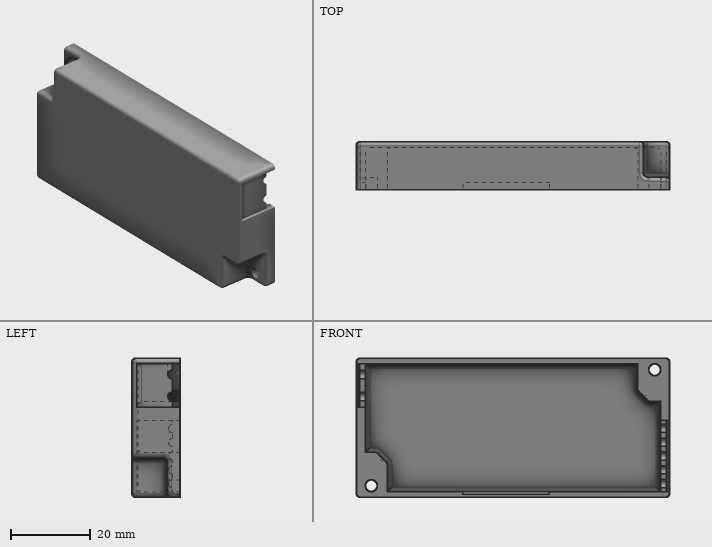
import cadquery as cq
import math

LENGTH = 79.3
DEPTH = 12.2
HEIGHT = 35.2

WALL = 1.4
END_RECESS = 0.9
END_INSET = WALL + END_RECESS
CAVITY_DEPTH = DEPTH - WALL
OUTER_FILLET = 1.0
INNER_FILLET = 1.2

LUG_THICKNESS = 3.25
INPUT_NOTCH = (6.4, 10.0)
OUTPUT_NOTCH = (6.7, 9.5)
STEP_BEVEL = 2.8
HOLE_DIAMETER = 2.9
HOLE_FROM_END = 3.8
HOLE_FROM_SIDE = 2.9

OPENING_SETBACK = 2.0
RECESS_FLOOR_LENGTH = 9.8
INPUT_WIDTH = 11.0
INPUT_PITCH = 5.55
INPUT_COUNT = 2
INPUT_RADIUS = 1.1
OUTPUT_WIDTH = 18.1
OUTPUT_PITCH = 3.5
OUTPUT_COUNT = 5
OUTPUT_RADIUS = 1.0

GROOVE_START = -12.8
GROOVE_END = 9.2
GROOVE_DEPTH = 0.7
GROOVE_FLOOR_WIDTH = 0.8


def block(x0, x1, y0, y1, z0, z1):
    """Box between two opposite corners."""
    return cq.Workplane("XY").box(x1 - x0, y1 - y0, z1 - z0, centered=False).translate((x0, y0, z0))


def half_turn(shape):
    """The same shape at the opposite corner of the part."""
    return shape.rotate((0, 0, 0), (0, 1, 0), 180)


def corner_notch(length, height):
    """Space behind the lug in the lower left corner."""
    x0 = -LENGTH / 2
    z0 = -HEIGHT / 2
    return block(x0, x0 + length, LUG_THICKNESS, DEPTH, z0, z0 + height)


def outer_body():
    """Block with two corners cut down to lugs, all edges rounded except at the open face."""
    body = block(-LENGTH / 2, LENGTH / 2, 0, DEPTH, -HEIGHT / 2, HEIGHT / 2)
    body = body.cut(corner_notch(*INPUT_NOTCH)).cut(half_turn(corner_notch(*OUTPUT_NOTCH)))
    return body.edges("not(#Y and <Y)").fillet(OUTER_FILLET)


def lug_step(length, height):
    """Solid corner left standing in the cavity: one wall around a notch, with a bevelled corner."""
    x0 = -LENGTH / 2
    z0 = -HEIGHT / 2
    x1 = x0 + length + WALL
    z1 = z0 + height + WALL
    outline = [(x0, z0), (x1, z0), (x1, z1 - STEP_BEVEL), (x1 - STEP_BEVEL, z1), (x0, z1)]
    step = cq.Workplane("XZ").polyline(outline).close().extrude(-CAVITY_DEPTH)
    bevel_ends = cq.selectors.SumSelector(
        cq.selectors.NearestToPointSelector((x1, CAVITY_DEPTH / 2, z1 - STEP_BEVEL)),
        cq.selectors.NearestToPointSelector((x1 - STEP_BEVEL, CAVITY_DEPTH / 2, z1)),
    )
    return step.edges(bevel_ends).fillet(INNER_FILLET)


def cavity():
    """Rectangular hollow that steps around both lugs, with a rounded floor edge."""
    half_length = LENGTH / 2 - END_INSET
    half_height = HEIGHT / 2 - WALL
    hollow = block(-half_length, half_length, 0, CAVITY_DEPTH, -half_height, half_height)
    hollow = hollow.cut(lug_step(*INPUT_NOTCH)).cut(half_turn(lug_step(*OUTPUT_NOTCH)))
    return hollow.faces(">Y").edges().fillet(INNER_FILLET)


def coved_recess(plane, floor_length, depth):
    """Outline of a shallow recess sunk from the part's open face, its far end a cove of the inner radius.

    The first axis of the plane runs into the wall and the second runs away from the open face.
    """
    cove_angle = math.acos(1 - depth / INNER_FILLET)
    cove_middle = cove_angle / 2
    cove_end = floor_length + INNER_FILLET * math.sin(cove_angle)
    middle_depth = depth - INNER_FILLET * (1 - math.cos(cove_middle))
    middle_length = floor_length + INNER_FILLET * math.sin(cove_middle)
    return (
        cq.Workplane(plane)
        .lineTo(depth, 0)
        .lineTo(depth, floor_length)
        .threePointArc((middle_depth, middle_length), (0, cove_end))
        .close()
    )


def wire_opening(z_start, width, count, pitch, radius):
    """Cutter for a recess in the left end wall, with a lowered front edge and round wire seats."""
    x0 = -LENGTH / 2
    recess = (
        coved_recess("XY", RECESS_FLOOR_LENGTH, END_RECESS)
        .extrude(width)
        .translate((x0, 0, z_start))
    )
    cutter = recess.union(block(x0, x0 + END_INSET, 0, OPENING_SETBACK, z_start, z_start + width))
    middle = z_start + width / 2
    for i in range(count):
        z = middle + (i - (count - 1) / 2) * pitch
        seat = cq.Workplane("YZ", origin=(x0, OPENING_SETBACK, z)).circle(radius).extrude(END_INSET)
        cutter = cutter.union(seat)
    return cutter


inner_top = HEIGHT / 2 - WALL
input_opening = wire_opening(inner_top - INPUT_WIDTH, INPUT_WIDTH, INPUT_COUNT, INPUT_PITCH, INPUT_RADIUS)
output_opening = half_turn(
    wire_opening(inner_top - OUTPUT_WIDTH, OUTPUT_WIDTH, OUTPUT_COUNT, OUTPUT_PITCH, OUTPUT_RADIUS)
)

hole_x = LENGTH / 2 - HOLE_FROM_END
hole_z = HEIGHT / 2 - HOLE_FROM_SIDE
screw_hole = cq.Workplane("XZ", origin=(hole_x, 0, hole_z)).circle(HOLE_DIAMETER / 2).extrude(-DEPTH)

groove_plane = cq.Plane(origin=(GROOVE_START, 0, -inner_top), xDir=(0, 0, -1), normal=(1, 0, 0))
groove_length = GROOVE_END - GROOVE_START
bottom_groove = coved_recess(groove_plane, GROOVE_FLOOR_WIDTH, GROOVE_DEPTH).extrude(groove_length)

result = outer_body().cut(cavity())
for cutter in (input_opening, output_opening, screw_hole, half_turn(screw_hole), bottom_groove):
    result = result.cut(cutter)